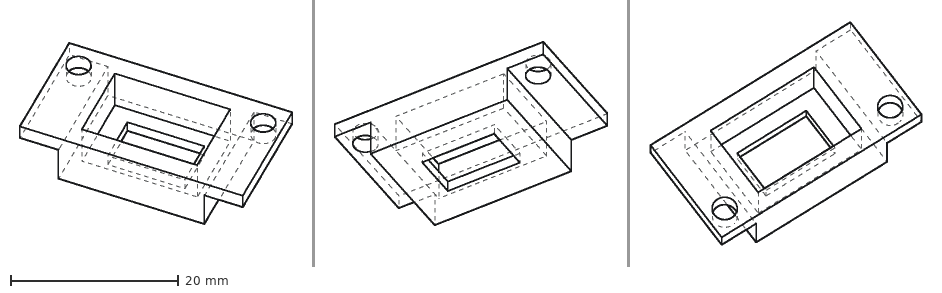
import cadquery as cq

flange_length = 29.0
depth = 15.0
flange_thickness = 2.0

total_height = 7.0
housing_length = 19.0

pocket_length = 15.0
pocket_width = 10.0
floor_thickness = 1.5
window_length = 10.0
window_width = 6.0

hole_diameter = 3.0
hole_end_offset = 2.5
hole_back_offset = 3.0


def block(length, width, bottom, top):
    """Box centred on the Z axis between two heights."""
    return cq.Workplane("XY").workplane(offset=bottom).rect(length, width).extrude(top - bottom)


flange_bottom = total_height - flange_thickness
housing = block(housing_length, depth, 0, total_height)
flange = block(flange_length, depth, flange_bottom, total_height)
pocket = block(pocket_length, pocket_width, floor_thickness, total_height)
window = block(window_length, window_width, 0, total_height)

hole_x = flange_length / 2 - hole_end_offset
hole_y = depth / 2 - hole_back_offset
screw_holes = (
    cq.Workplane("XY")
    .workplane(offset=flange_bottom)
    .pushPoints([(-hole_x, hole_y), (hole_x, hole_y)])
    .circle(hole_diameter / 2)
    .extrude(flange_thickness)
)

result = housing.union(flange).cut(pocket).cut(window).cut(screw_holes)